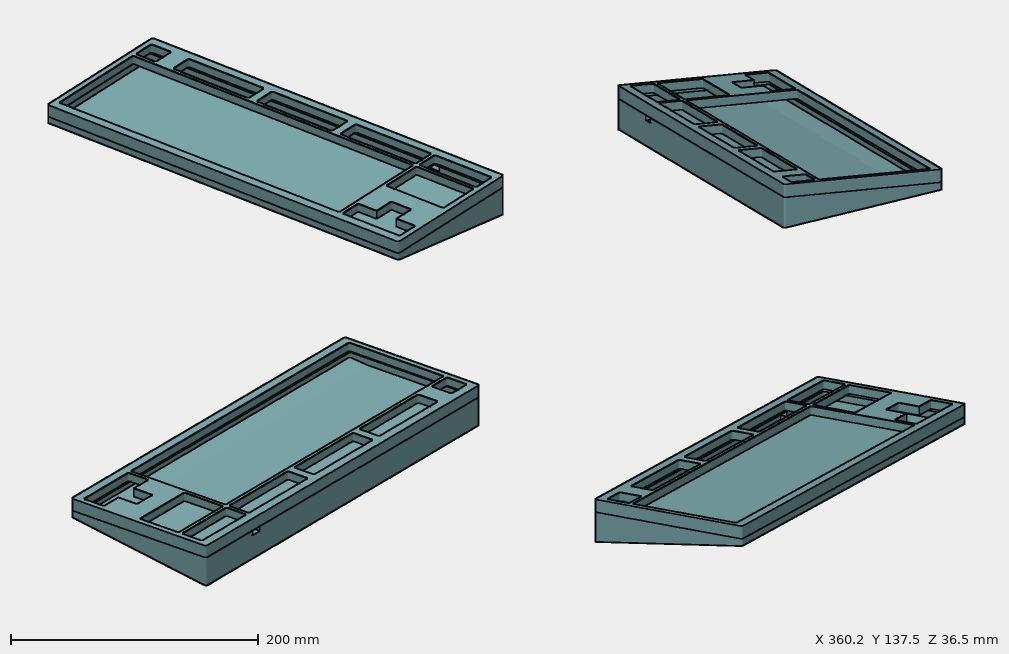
import cadquery as cq
LENGTH = 360.2
DEPTH = 137.5
HEIGHT = 36.5
FRONT_BOTTOM = 19.5
SEAM = 25.5
CORNER_RADIUS = 1.98

PITCH = 19.05
CLEARANCE = 1.0
LAYOUT_COLUMNS = 18.25
LAYOUT_ROWS = 6.25
MAIN_COLUMNS = 15
MAIN_ROWS = 5
FUNCTION_ROW = LAYOUT_ROWS - 1
FUNCTION_STARTS = [2, 6.5, 11]
FUNCTION_GROUP = 4
NAV_COLUMNS = 3
NAV_ROWS = 2
NAV_START = LAYOUT_COLUMNS - NAV_COLUMNS
NAV_FRONT = MAIN_ROWS - NAV_ROWS
LAYOUT_WIDTH = LAYOUT_COLUMNS * PITCH + CLEARANCE
LAYOUT_DEPTH = LAYOUT_ROWS * PITCH + CLEARANCE

FUNCTION_CORNER = 1.5
BLOCK_CORNER = 1.0
RIM_CHAMFER = 0.25

PLATE = 7.5
SIDE_UNDERCUT = 3.5
END_UNDERCUT = 2.0
CAVITY_WIDTH = LAYOUT_WIDTH + 2 * SIDE_UNDERCUT
CAVITY_DEPTH = LAYOUT_DEPTH + 2 * END_UNDERCUT
CAVITY_CORNER = 1.98
FLOOR = 19.5
RAMP_LENGTH = 24.5
RAMP_RISE = 2.0

NOTCH_LEFT = 109.0
NOTCH_WIDTH = 9.7
NOTCH_FLOOR = 21.3


def upright_block(width, depth, bottom, top, radius):
    """Upright block centred on the Z axis, with round vertical corners."""
    return (
        cq.Workplane("XY", origin=(0, 0, bottom))
        .rect(width, depth)
        .extrude(top - bottom)
        .edges("|Z")
        .fillet(radius)
    )


def side_profile(points):
    """Solid with the given (y, z) outline over the whole length."""
    return cq.Workplane("YZ").polyline(points).close().extrude(LENGTH / 2, both=True)


def key_opening(column, row, columns, rows, radius):
    """Cutter for a block of keys whose front left key is at the given column and row."""
    width = columns * PITCH + CLEARANCE
    depth = rows * PITCH + CLEARANCE
    x = (width - LAYOUT_WIDTH) / 2 + column * PITCH
    y = (depth - LAYOUT_DEPTH) / 2 + row * PITCH
    return upright_block(width, depth, SEAM, HEIGHT, radius).translate((x, y, 0))


def key_openings():
    openings = [
        key_opening(0, FUNCTION_ROW, 1, 1, FUNCTION_CORNER),
        key_opening(NAV_START, FUNCTION_ROW, NAV_COLUMNS, 1, FUNCTION_CORNER),
        key_opening(0, 0, MAIN_COLUMNS, MAIN_ROWS, BLOCK_CORNER),
        key_opening(NAV_START, NAV_FRONT, NAV_COLUMNS, NAV_ROWS, BLOCK_CORNER),
    ]
    for start in FUNCTION_STARTS:
        openings.append(key_opening(start, FUNCTION_ROW, FUNCTION_GROUP, 1, FUNCTION_CORNER))

    arrow_row = key_opening(NAV_START, 0, NAV_COLUMNS, 1, BLOCK_CORNER)
    arrow_column = key_opening(NAV_START + 1, 0, 1, 2, BLOCK_CORNER)
    openings.append(arrow_row.union(arrow_column))
    return openings


def make_frame():
    frame = upright_block(LENGTH, DEPTH, SEAM, HEIGHT, CORNER_RADIUS)
    for opening in key_openings():
        frame = frame.cut(opening)

    inside = cq.selectors.BoxSelector(
        (-CAVITY_WIDTH / 2, -CAVITY_DEPTH / 2, SEAM),
        (CAVITY_WIDTH / 2, CAVITY_DEPTH / 2, HEIGHT + RIM_CHAMFER),
    )
    frame = frame.faces(">Z").edges(inside).chamfer(RIM_CHAMFER)

    hollow = upright_block(CAVITY_WIDTH, CAVITY_DEPTH, SEAM, HEIGHT - PLATE, CAVITY_CORNER)
    return frame.cut(hollow)


def make_case():
    front = -DEPTH / 2
    rear = DEPTH / 2
    wedge = side_profile([(front, FRONT_BOTTOM), (rear, 0), (rear, SEAM), (front, SEAM)])
    case = upright_block(LENGTH, DEPTH, 0, SEAM, CORNER_RADIUS).intersect(wedge)

    ramp = side_profile([(front, FLOOR), (front + RAMP_LENGTH, FLOOR), (front, FLOOR + RAMP_RISE)])
    cavity = upright_block(CAVITY_WIDTH, CAVITY_DEPTH, FLOOR, SEAM, CAVITY_CORNER).cut(ramp)

    notch_depth = DEPTH - CAVITY_DEPTH
    notch = (
        cq.Workplane("XY", origin=(NOTCH_LEFT + NOTCH_WIDTH / 2, rear, NOTCH_FLOOR))
        .rect(NOTCH_WIDTH, notch_depth)
        .extrude(SEAM - NOTCH_FLOOR)
    )
    return case.cut(cavity).cut(notch)


frame = make_frame()
case = make_case()
result = cq.Compound.makeCompound([frame.val(), case.val()])